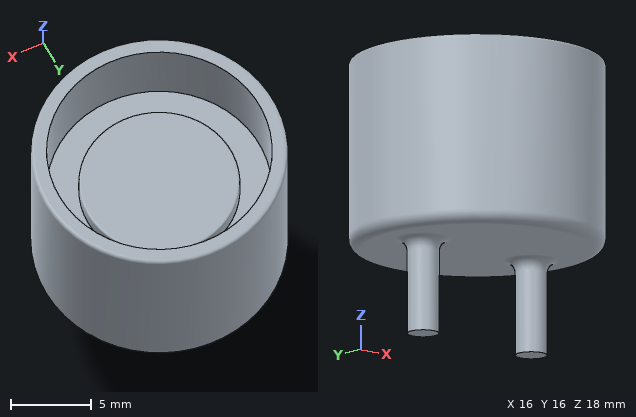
import cadquery as cq

total_height = 18.0
body_diameter = 16.0
pin_length = 6.0
body_height = total_height - pin_length

cavity_diameter = 14.0
cavity_depth = 5.0
rim_fillet = 0.25
base_fillet = 0.75

disc_diameter = 10.0
disc_height = 1.0
disc_fillet = 0.15

pin_diameter = 2.0
pin_spacing = 9.0
pin_root_fillet = 0.75


def make_cup():
    """Round cup, open at the top, with its base on Z = 0."""
    cup = cq.Workplane("XY").circle(body_diameter / 2).extrude(body_height)
    cup = cup.faces(">Z").edges().fillet(rim_fillet)
    cup = cup.faces("<Z").edges().fillet(base_fillet)
    return cup.faces(">Z").workplane().circle(cavity_diameter / 2).cutBlind(-cavity_depth)


def make_disc():
    """Disc with a rounded top edge, standing on the cavity floor."""
    floor_height = body_height - cavity_depth
    disc = cq.Workplane("XY").workplane(offset=floor_height).circle(disc_diameter / 2).extrude(disc_height)
    return disc.faces(">Z").edges().fillet(disc_fillet)


def make_pin(x):
    """Pin hanging below the base, flared by a concave fillet at its root."""
    pin_radius = pin_diameter / 2
    profile = (
        cq.Workplane("XZ")
        .moveTo(0, 0)
        .lineTo(pin_radius + pin_root_fillet, 0)
        .radiusArc((pin_radius, -pin_root_fillet), -pin_root_fillet)
        .lineTo(pin_radius, -pin_length)
        .lineTo(0, -pin_length)
        .close()
    )
    return profile.revolve(360, (0, 0, 0), (0, 1, 0)).translate((x, 0, 0))


result = make_cup().union(make_disc())
for side in (-1, 1):
    result = result.union(make_pin(side * pin_spacing / 2))